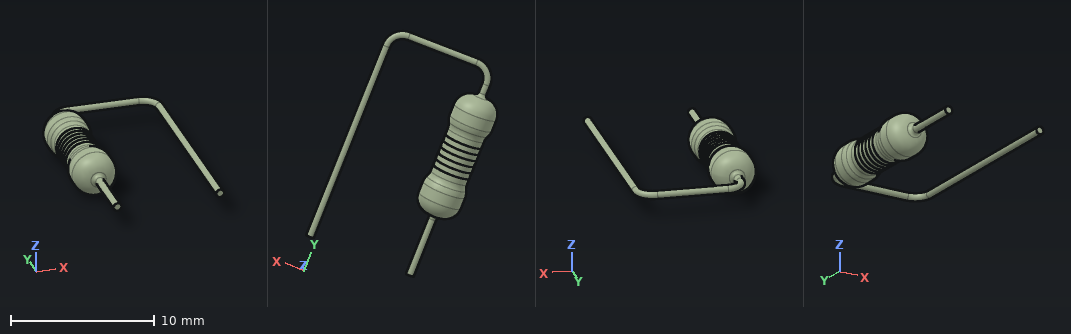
import cadquery as cq
import math

lead_diameter = 0.6
lead_radius = lead_diameter / 2
lead_pitch = 7.5
bend_radius = 1.2
overall_length = 16.1

body_center = 9.1
cap_radius = 3.2 / 2
waist_radius = 2.72 / 2
band_radius = 2.74 / 2

band_count = 4
band_width = 0.47
cap_inner = 2.55
cap_outer = 3.38
dome_radius = 1.15
neck_fillet_radius = 0.29

ring_count = 2 * band_count - 1
band_zone_length = ring_count * band_width


def body_end():
    """Revolve the flare, cap, dome and neck at the +Y end of the body."""
    flare_start = band_zone_length / 2
    flare_length = cap_inner - flare_start
    flare_rise = cap_radius - band_radius
    flare_arc_radius = (flare_length**2 + flare_rise**2) / (4 * flare_rise)
    flare_middle = (band_radius + flare_rise / 2, flare_start + flare_length / 2)

    dome_center_x = cap_radius - dome_radius
    neck_center_x = lead_radius + neck_fillet_radius
    center_distance = dome_radius + neck_fillet_radius
    neck_offset = neck_center_x - dome_center_x
    neck_rise = math.sqrt(center_distance**2 - neck_offset**2)
    neck_end = cap_outer + neck_rise
    tangent_share = dome_radius / center_distance
    dome_end = (
        dome_center_x + neck_offset * tangent_share,
        cap_outer + neck_rise * tangent_share,
    )

    profile = (
        cq.Workplane("XY")
        .moveTo(0, flare_start)
        .lineTo(band_radius, flare_start)
        .radiusArc(flare_middle, flare_arc_radius)
        .radiusArc((cap_radius, cap_inner), -flare_arc_radius)
        .lineTo(cap_radius, cap_outer)
        .radiusArc(dome_end, -dome_radius)
        .radiusArc((lead_radius, neck_end), neck_fillet_radius)
        .lineTo(0, neck_end)
        .close()
    )
    return profile.revolve(360, (0, 0, 0), (0, 1, 0))


def banded_waist():
    """Row of rings in which raised bands alternate with the bare waist."""
    waist = cq.Workplane("XZ")
    for index in range(ring_count):
        start = -band_zone_length / 2 + index * band_width
        radius = band_radius if index % 2 == 0 else waist_radius
        ring = cq.Workplane("XZ", origin=(0, start, 0)).circle(radius).extrude(-band_width)
        waist = waist.add(ring)
    return waist.combine()


def lead_wire():
    """Round wire swept along both legs, the two bends and the cross run."""
    cross_run_y = overall_length - lead_radius
    bend_start_y = cross_run_y - bend_radius
    path = (
        cq.Workplane("XY")
        .moveTo(0, 0)
        .lineTo(0, bend_start_y)
        .radiusArc((bend_radius, cross_run_y), bend_radius)
        .lineTo(lead_pitch - bend_radius, cross_run_y)
        .radiusArc((lead_pitch, bend_start_y), bend_radius)
        .lineTo(lead_pitch, 0)
    )
    return cq.Workplane("XZ").circle(lead_radius).sweep(path)


upper_end = body_end()
body = banded_waist().union(upper_end).union(upper_end.mirror("XZ"))
result = body.translate((0, body_center, 0)).union(lead_wire())